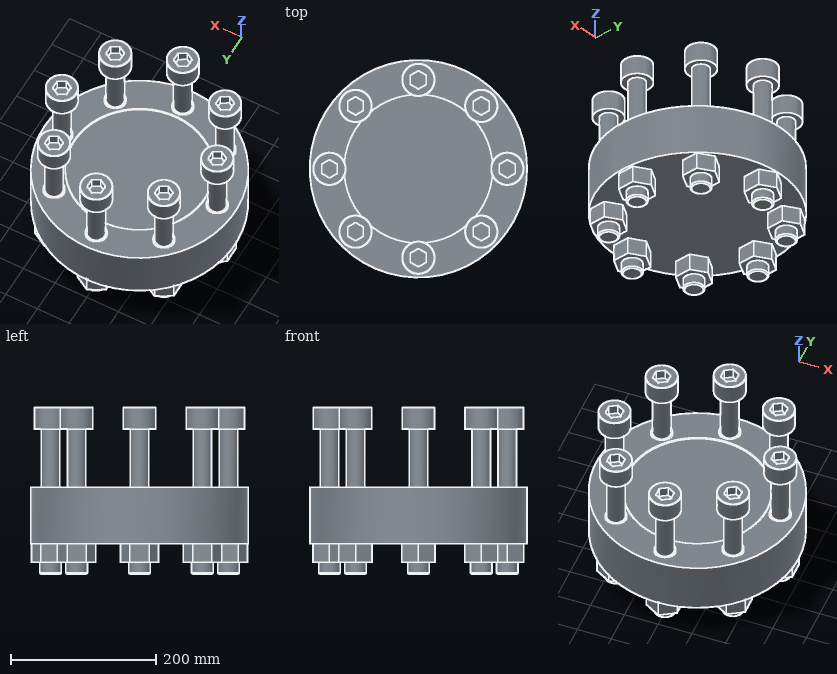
import cadquery as cq
import math

flange_diameter = 300.0
flange_thickness = 78.0
flange_bottom = 42.0
flange_top = flange_bottom + flange_thickness
recess_diameter = 205.0
recess_depth = 2.0

bolt_count = 8
bolt_circle_diameter = 245.0
bolt_length = 230.0
thread_diameter = 30.0
shank_diameter = 25.8
thread_chamfer = (thread_diameter - shank_diameter) / 2

head_diameter = 45.0
head_height = 30.0
head_chamfer = 0.5
socket_flats = 22.0
socket_depth = 15.0

nut_flats = 46.0
nut_height = 25.5


def corner_diameter(flats):
    """Diameter across the corners of a hexagon, from its width across flats."""
    return flats / math.cos(math.pi / 6)


def hexagon(flats, height):
    """Upright hexagonal prism on Z = 0 with two of its corners along Y."""
    prism = cq.Workplane("XY").polygon(6, corner_diameter(flats)).extrude(height)
    return prism.rotate((0, 0, 0), (0, 0, 1), 90)


def cylinder(diameter, bottom, top):
    """Upright cylinder on the Z axis."""
    return cq.Workplane("XY").workplane(offset=bottom).circle(diameter / 2).extrude(top - bottom)


def make_flange():
    """Blind flange with a shallow round recess in its upper face."""
    recess = cylinder(recess_diameter, flange_top - recess_depth, flange_top)
    return cylinder(flange_diameter, flange_bottom, flange_top).cut(recess)


def make_thread_gap():
    """Hole in the flange, as far down as the chamfer on the thread's upper end."""
    return cylinder(thread_diameter, flange_top - thread_chamfer, flange_top)


def make_bolt():
    """Socket head bolt with a reduced shank, and the nut on its lower end."""
    thread = cylinder(thread_diameter, 0, flange_top).faces("<Z or >Z").chamfer(thread_chamfer)
    shank = cylinder(shank_diameter, flange_top - thread_chamfer, bolt_length - head_height)
    head = cylinder(head_diameter, bolt_length - head_height, bolt_length)
    head = head.faces(">Z").chamfer(head_chamfer)
    socket = hexagon(socket_flats, socket_depth).translate((0, 0, bolt_length - socket_depth))
    nut = hexagon(nut_flats, nut_height).translate((0, 0, flange_bottom - nut_height))
    return thread.union(shank).union(head).cut(socket).union(nut)


bolt_places = [
    (
        bolt_circle_diameter / 2 * math.cos(2 * math.pi * index / bolt_count),
        bolt_circle_diameter / 2 * math.sin(2 * math.pi * index / bolt_count),
        0,
    )
    for index in range(bolt_count)
]

result = make_flange()
thread_gap = make_thread_gap()
bolt = make_bolt()
for place in bolt_places:
    result = result.cut(thread_gap.translate(place))
    result = result.union(bolt.translate(place))